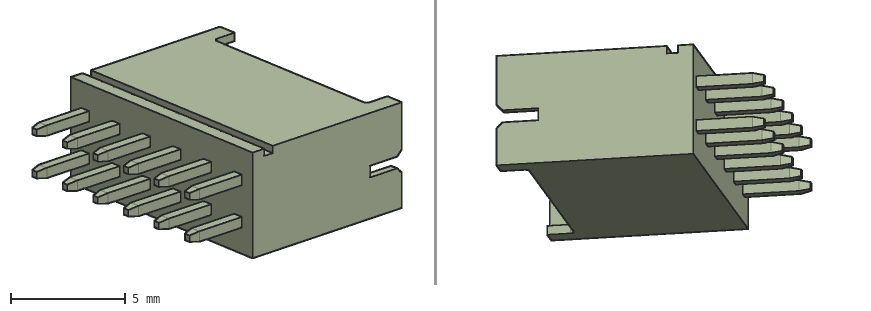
import cadquery as cq


housing_width = 11.9
housing_depth = 8.81
housing_height = 5.0
wall = 0.4

groove_offset = 0.69
groove_width = 0.5
groove_depth = 0.35
groove_end = groove_offset + groove_width

base_thickness = groove_end + wall

notch_side_margin = 0.95
notch_depth = 1.24
notch_corner_radius = 0.2

slot_top = 0.0
slot_height = 0.55
slot_depth = 1.87
slot_chamfer = 0.27

pins_per_row = 6
rows = 2
pin_pitch = 2.0
pin_size = 0.5
pin_length = 3.0
tip_length = 0.5
tip_size = 0.31


def box_between(x_range, y_range, z_range):
    """Axis-aligned box given by its (low, high) limits on each axis."""
    limits = (x_range, y_range, z_range)
    size = [high - low for low, high in limits]
    corner = cq.Vector(*[low for low, high in limits])
    return cq.Workplane("XY").box(*size, centered=False).translate(corner)


def centred(length):
    return (-length / 2, length / 2)


def make_shroud():
    outer = box_between(centred(housing_width), (0, housing_depth), centred(housing_height))
    cavity = box_between(
        centred(housing_width - 2 * wall),
        (base_thickness, housing_depth),
        centred(housing_height - 2 * wall),
    )
    return outer.cut(cavity)


def make_groove():
    top = housing_height / 2
    return box_between(centred(housing_width), (groove_offset, groove_end), (top - groove_depth, top))


def make_notch():
    notch = box_between(
        centred(housing_width - 2 * notch_side_margin),
        (housing_depth - notch_depth, housing_depth),
        centred(housing_height),
    )
    return notch.edges("|Z and <Y").fillet(notch_corner_radius)


def make_end_slot():
    slot_bottom = slot_top - slot_height
    slot_floor = housing_depth - slot_depth
    chamfer_start = housing_depth - slot_chamfer
    profile = [
        (slot_floor, slot_bottom),
        (chamfer_start, slot_bottom),
        (housing_depth, slot_bottom - slot_chamfer),
        (housing_depth, slot_top + slot_chamfer),
        (chamfer_start, slot_top),
        (slot_floor, slot_top),
    ]
    return cq.Workplane("YZ").polyline(profile).close().extrude(housing_width / 2, both=True)


def make_pin():
    """Square pin on the Y axis, ending in a tapered tip."""
    shank_length = pin_length - tip_length
    shank = cq.Workplane("XZ").rect(pin_size, pin_size).extrude(shank_length)
    tip = (
        cq.Workplane("XZ", origin=(0, -shank_length, 0))
        .rect(pin_size, pin_size)
        .workplane(offset=tip_length)
        .rect(tip_size, tip_size)
        .loft(ruled=True)
    )
    return shank.union(tip)


result = make_shroud().cut(make_groove()).cut(make_notch()).cut(make_end_slot())

pin = make_pin()
for column in range(pins_per_row):
    for row in range(rows):
        pin_x = (column - (pins_per_row - 1) / 2) * pin_pitch
        pin_z = (row - (rows - 1) / 2) * pin_pitch
        result = result.union(pin.translate((pin_x, 0, pin_z)))